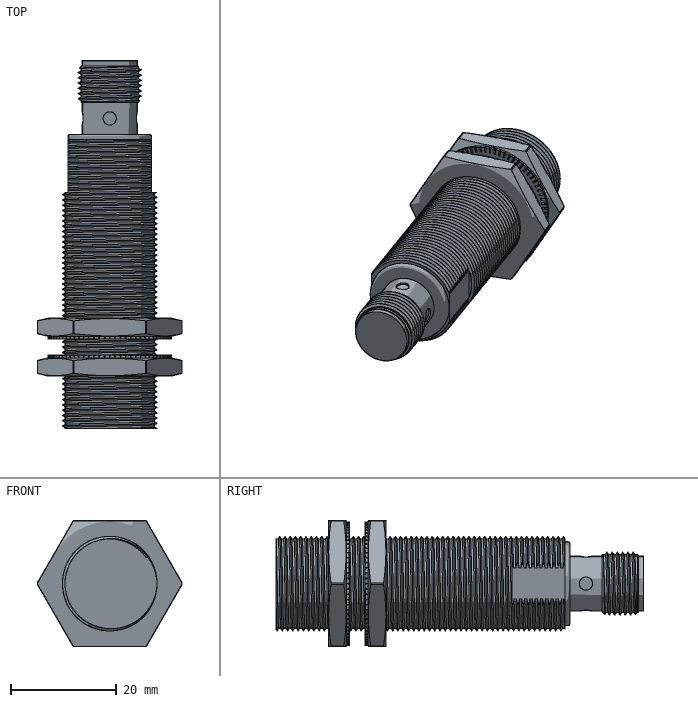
import cadquery as cq
import math


PITCH = 1.0
THREAD_DEPTH = 0.5
ROOT_WIDTH = 0.4
SPARE_TURNS = 2

TOTAL_LENGTH = 70.0
BODY_CREST_RADIUS = 9.0
BODY_FIRST_CREST = 0
BODY_THREAD_END = 55.0
COLLAR_RADIUS = 8.0
COLLAR_END = 56.0
COLLAR_FILLET = 0.5

FLAT_OFFSET = COLLAR_RADIUS
FLAT_START = 44.95

NECK_RADIUS = 10.5 / 2
PLUG_CREST_RADIUS = 6.0
PLUG_THREAD_START = 62.0
PLUG_THREAD_END = 69.0
PLUG_CREST_OFFSET = 0.225
PLUG_TAPER_LENGTH = 0.85
PLUG_TAPER_HEIGHT = 0.7
PLUG_TAPER_MARGIN = 0.1

WINDOW_COUNT = 4
WINDOW_RADIUS = 1.25
WINDOW_DEPTH = 0.35
WINDOW_CENTER = 59.0

NUT_THICKNESS = 4.0
NUT_ACROSS_FLATS = 24.0
NUT_CORNER_RADIUS = 27.6 / 2
NUT_FACE_RADIUS = 11.75
NUT_HEX_HEIGHT = 3.4
NUT_CHAMFER_HEIGHT = 0.5
FRONT_NUT_FACE = 10.0
REAR_NUT_FACE = 21.0

SERRATION_COUNT = 72
SERRATION_DEPTH = 0.35
SERRATION_INNER_RADIUS = 10.7
SERRATION_WIDTH = 0.3

CUT_MARGIN = 0.7


def along_y(shape):
    """Lay a shape built along local Z down along Y, keeping X."""
    return shape.rotate((0, 0, 0), (1, 0, 0), -90)


def cylinder(radius, start, end):
    return cq.Workplane().workplane(offset=start).circle(radius).extrude(end - start)


def helix_turn(radius, start):
    """One right-handed turn, beginning on +X at the given height."""
    wire = cq.Wire.makeHelix(PITCH, PITCH, radius).translate(cq.Vector(0, 0, start))
    return wire.Edges()[0]


def threaded_rod(crest_radius, first_crest, start, end):
    """Solid rod with a helical thread, cut square at both ends."""
    root_radius = crest_radius - THREAD_DEPTH
    flank = (PITCH - ROOT_WIDTH) / 2
    section = [
        (crest_radius, 0),
        (root_radius, flank),
        (root_radius, flank + ROOT_WIDTH),
        (crest_radius, PITCH),
    ]
    turns = math.ceil((end - start) / PITCH) + 2 * SPARE_TURNS
    bottom = first_crest - SPARE_TURNS * PITCH
    top = bottom + turns * PITCH

    faces = []
    for turn in range(turns):
        base = bottom + turn * PITCH
        for (r0, z0), (r1, z1) in zip(section, section[1:]):
            faces.append(cq.Face.makeRuledSurface(helix_turn(r0, base + z0), helix_turn(r1, base + z1)))
    for level in (bottom, top):
        axis = cq.Edge.makeLine(cq.Vector(0, 0, level), cq.Vector(0, 0, level + PITCH))
        faces.append(cq.Face.makeRuledSurface(axis, helix_turn(crest_radius, level)))
        outline = [(0, level)] + [(r, level + z) for r, z in section] + [(0, level + PITCH)]
        step = cq.Workplane("XZ").polyline(outline).close().wire().val()
        faces.append(cq.Face.makeFromWires(step))
    rod = cq.Workplane(obj=cq.Solid.makeSolid(cq.Shell.makeShell(faces)))
    return rod.intersect(cylinder(2 * crest_radius, start, end), clean=False)


def housing_body():
    """Threaded sensor barrel with collar, neck, plug connector, wrench flats and windows."""
    barrel = threaded_rod(BODY_CREST_RADIUS, BODY_FIRST_CREST, 0, BODY_THREAD_END)
    barrel = barrel.cut(wrench_flat_waste(), clean=False)
    plug = threaded_rod(
        PLUG_CREST_RADIUS, PLUG_THREAD_START + PLUG_CREST_OFFSET, PLUG_THREAD_START, PLUG_THREAD_END
    )
    plug = plug.intersect(plug_envelope(), clean=False)
    collar = cylinder(COLLAR_RADIUS, BODY_THREAD_END, COLLAR_END).faces(">Z").edges().fillet(COLLAR_FILLET)
    neck = cylinder(NECK_RADIUS, COLLAR_END, PLUG_THREAD_START).cut(window_waste())
    tip = cylinder(NECK_RADIUS, PLUG_THREAD_END, TOTAL_LENGTH)
    housing = barrel
    for section in (collar, neck, plug, tip):
        housing = housing.union(section, clean=False)
    return along_y(housing)


def wrench_flat_waste():
    """Material outside the two flats, on the +X and -X sides."""
    side = 2 * BODY_CREST_RADIUS
    length = BODY_THREAD_END - FLAT_START
    block = cq.Workplane().workplane(offset=FLAT_START).rect(2 * side, side).extrude(length)
    kept = cq.Workplane().workplane(offset=FLAT_START).rect(2 * FLAT_OFFSET, side).extrude(length)
    return block.cut(kept)


def plug_envelope():
    """Cylinder tapered at both ends, which fades the plug thread in and out."""
    envelope = cylinder(PLUG_CREST_RADIUS + PLUG_TAPER_MARGIN, PLUG_THREAD_START, PLUG_THREAD_END)
    return envelope.edges().chamfer(PLUG_TAPER_LENGTH, PLUG_TAPER_HEIGHT)


def window_waste():
    """Round recesses whose floors run parallel to the neck surface."""
    shell = cylinder(NECK_RADIUS + CUT_MARGIN, COLLAR_END, PLUG_THREAD_START).cut(
        cylinder(NECK_RADIUS - WINDOW_DEPTH, COLLAR_END, PLUG_THREAD_START)
    )
    cutter = cq.Workplane("XZ", origin=(0, 0, WINDOW_CENTER)).circle(WINDOW_RADIUS).extrude(2 * NECK_RADIUS)
    windows = cq.Workplane()
    for index in range(WINDOW_COUNT):
        turned = cutter.rotate((0, 0, 0), (0, 0, 1), index * 360 / WINDOW_COUNT)
        windows = windows.add(turned.intersect(shell).vals())
    return windows.combine()


def serrated_nut():
    """Nut with its plain face at Z = 0 and its serrated flange at the top."""
    hexagon = (
        cq.Workplane()
        .polygon(6, NUT_ACROSS_FLATS / math.cos(math.pi / 6))
        .extrude(NUT_HEX_HEIGHT)
    )
    profile = [
        (BODY_CREST_RADIUS, 0),
        (NUT_FACE_RADIUS, 0),
        (NUT_CORNER_RADIUS, NUT_CHAMFER_HEIGHT),
        (NUT_CORNER_RADIUS, NUT_HEX_HEIGHT - NUT_CHAMFER_HEIGHT),
        (NUT_FACE_RADIUS, NUT_HEX_HEIGHT),
        (BODY_CREST_RADIUS, NUT_HEX_HEIGHT),
    ]
    envelope = cq.Workplane("XZ").polyline(profile).close().revolve(360, (0, 0, 0), (0, 1, 0))
    flange = cylinder(NUT_FACE_RADIUS, NUT_HEX_HEIGHT, NUT_THICKNESS).cut(
        cylinder(BODY_CREST_RADIUS, NUT_HEX_HEIGHT, NUT_THICKNESS)
    )
    return hexagon.intersect(envelope).union(flange).cut(serration_waste())


def serration_waste():
    """Radial V grooves around the outer part of the flange face."""
    half_width = SERRATION_WIDTH / 2
    groove = (
        cq.Workplane("YZ", origin=(SERRATION_INNER_RADIUS, 0, NUT_THICKNESS))
        .polyline([(-half_width, 0), (0, -SERRATION_DEPTH), (half_width, 0)])
        .close()
        .extrude(NUT_FACE_RADIUS - SERRATION_INNER_RADIUS + CUT_MARGIN)
    )
    grooves = cq.Workplane()
    for index in range(SERRATION_COUNT):
        grooves = grooves.add(groove.rotate((0, 0, 0), (0, 0, 1), index * 360 / SERRATION_COUNT).vals())
    return cq.Compound.makeCompound(grooves.vals())


housing = housing_body()

front_nut = along_y(serrated_nut()).translate((0, FRONT_NUT_FACE, 0))
rear_nut = along_y(serrated_nut()).rotate((0, 0, 0), (0, 0, 1), 180).translate((0, REAR_NUT_FACE, 0))

result = cq.Compound.makeCompound([housing.val(), front_nut.val(), rear_nut.val()])